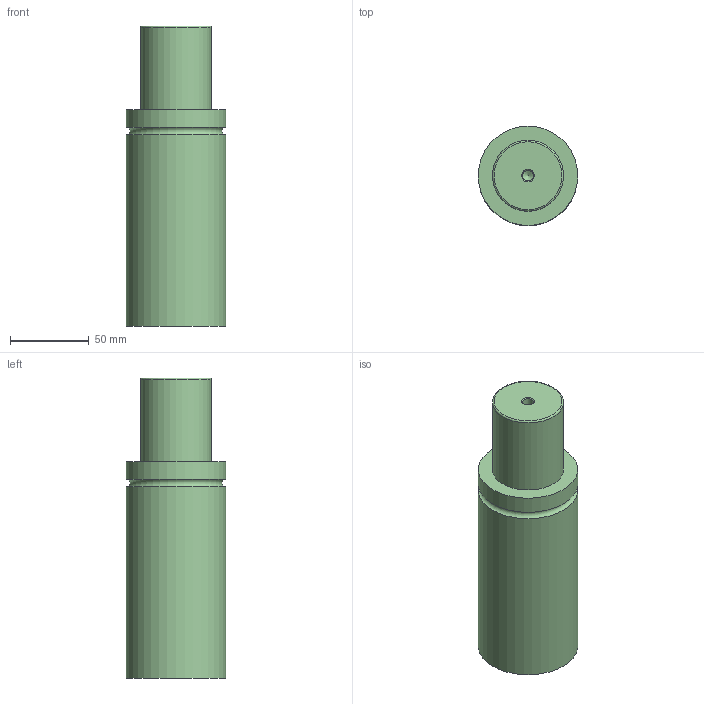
import cadquery as cq
import math

total_height = 190.0
body_diameter = 63.0
rod_diameter = 45.0
rod_length = 53.0
rod_edge_radius = 1.0

collar_height = 11.0
groove_section_radius = 2.5

hole_diameter = 6.8
hole_mouth_diameter = 8.0
hole_depth = 16.0
drill_point_angle = 118.0

body_radius = body_diameter / 2
rod_radius = rod_diameter / 2
body_height = total_height - rod_length


def make_body():
    """Revolve the body outline, including its retaining groove."""
    groove_top = body_height - collar_height
    groove_middle = groove_top - groove_section_radius
    groove_bottom = groove_middle - groove_section_radius
    groove_floor_radius = body_radius - groove_section_radius
    return (
        cq.Workplane("XZ")
        .lineTo(body_radius, 0)
        .lineTo(body_radius, groove_bottom)
        .threePointArc((groove_floor_radius, groove_middle), (body_radius, groove_top))
        .lineTo(body_radius, body_height)
        .lineTo(0, body_height)
        .close()
        .revolve(360, (0, 0), (0, 1))
    )


def make_rod():
    """Plain cylindrical rod with a rounded upper edge."""
    rod = cq.Workplane("XY").workplane(offset=body_height).circle(rod_radius).extrude(rod_length)
    return rod.faces(">Z").edges().fillet(rod_edge_radius)


def make_hole():
    """Cutter for the countersunk blind hole in the rod end."""
    hole_radius = hole_diameter / 2
    mouth_radius = hole_mouth_diameter / 2
    mouth_depth = mouth_radius - hole_radius
    point_depth = hole_radius / math.tan(math.radians(drill_point_angle / 2))
    hole_bottom = total_height - hole_depth
    return (
        cq.Workplane("XZ")
        .moveTo(0, total_height)
        .lineTo(mouth_radius, total_height)
        .lineTo(hole_radius, total_height - mouth_depth)
        .lineTo(hole_radius, hole_bottom)
        .lineTo(0, hole_bottom - point_depth)
        .close()
        .revolve(360, (0, 0), (0, 1))
    )


result = make_body().union(make_rod()).cut(make_hole())